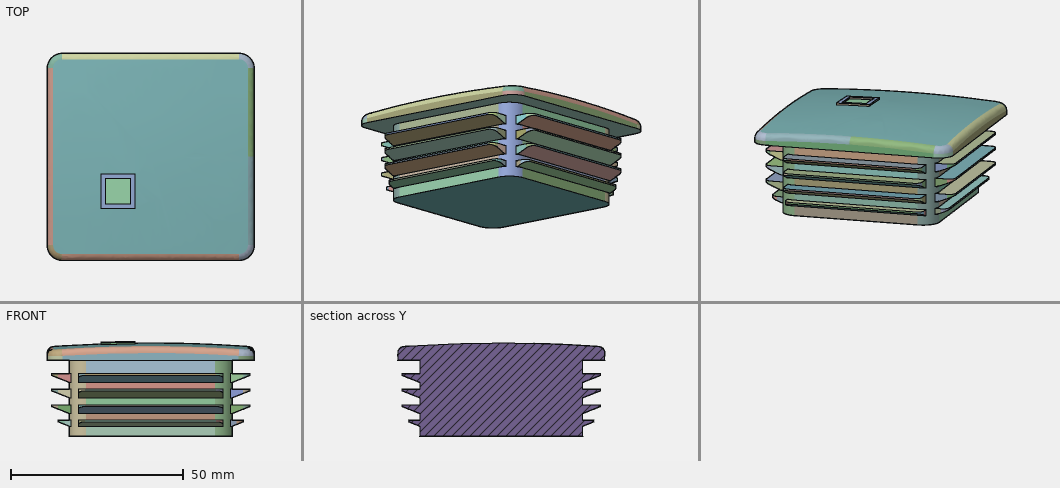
import cadquery as cq


cap_side = 60.0
cap_corner_radius = 4.5
cap_edge_radius = 2.0
cap_top = 27.05
dome_radius = 390.0

body_side = 47.2
body_corner_radius = 5.0
body_height = 22.0

fin_length = 41.9
fin_corner_radius = 2.0
fin_tip_thickness = 0.5
fin_slope = 0.4
fin_root = body_side / 2 - body_corner_radius
long_fin_reach = 28.75
short_fin_reach = 26.8
long_fin_tops = (18.1, 13.7, 9.1)
short_fin_top = 4.7

frame_side = 9.95
frame_wall = 1.3
frame_center = (-9.5, -9.9)
frame_rise = 0.5


def rounded_block(side, corner_radius, bottom, top):
    """Square block with rounded vertical edges."""
    block = cq.Workplane("XY").workplane(offset=bottom).rect(side, side).extrude(top - bottom)
    return block.edges("|Z").fillet(corner_radius)


def dome_ball(apex):
    """Ball sharing the centre of the dome, with its highest point at the given height."""
    center_z = cap_top - dome_radius
    return cq.Workplane("XY").sphere(apex - center_z).translate((0, 0, center_z))


def make_cap():
    """Square plate under a shallow dome with a rounded rim."""
    plate = rounded_block(cap_side, cap_corner_radius, body_height, cap_top)
    domed = plate.intersect(dome_ball(cap_top))
    return domed.faces(">Z").edges().fillet(cap_edge_radius)


def make_fin(top, reach):
    """Fin on the +X side with a sloped underside and rounded outer corners."""
    tip_bottom = top - fin_tip_thickness
    root_bottom = tip_bottom - fin_slope * (reach - body_side / 2)
    profile = [
        (fin_root, top),
        (reach, top),
        (reach, tip_bottom),
        (body_side / 2, root_bottom),
        (fin_root, root_bottom),
    ]
    fin = cq.Workplane("XZ").polyline(profile).close().extrude(fin_length / 2, both=True)
    return fin.faces(">X").edges("|Z").fillet(fin_corner_radius)


def make_frame():
    """Square frame that follows the dome at a constant rise."""
    opening_side = frame_side - 2 * frame_wall
    frame = (
        cq.Workplane("XY")
        .workplane(offset=body_height)
        .center(*frame_center)
        .rect(frame_side, frame_side)
        .rect(opening_side, opening_side)
        .extrude(cap_top + frame_rise - body_height)
    )
    return frame.intersect(dome_ball(cap_top + frame_rise))


result = rounded_block(body_side, body_corner_radius, 0, body_height)
result = result.union(make_cap()).union(make_frame())

fins = [make_fin(top, long_fin_reach) for top in long_fin_tops]
fins.append(make_fin(short_fin_top, short_fin_reach))
for fin in fins:
    for angle in (0, 90, 180, 270):
        result = result.union(fin.rotate((0, 0, 0), (0, 0, 1), angle))